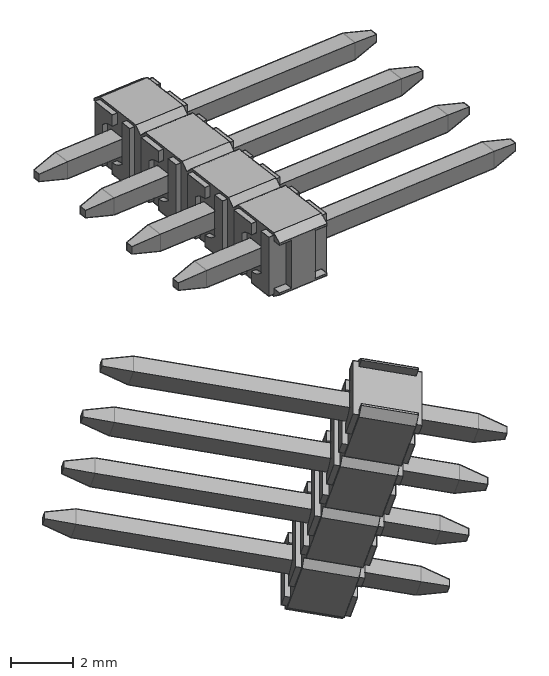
import cadquery as cq
import math

pin_count = 4
pitch = 10.16 / pin_count
row_length = pin_count * pitch

body_depth = 1.9
body_height = 2.49
notch_size = 0.25
end_bevel_width = 0.32
end_bevel_height = 0.23
end_lip_depth = 0.31
end_web_depth = body_depth / 2

pad_thickness = 0.2
pad_half_width = 0.95
pad_half_height = 1.16
channel_half_width = 0.52
pin_clearance_radius = 0.71

pin_length = 13.46
pin_width = 0.67
pin_tip_width = 0.3
pin_taper_length = 1.0
pin_front_reach = 4.17

pin_positions = [(i - (pin_count - 1) / 2) * pitch for i in range(pin_count)]


def box_between(x_range, y_range, z_range):
    """Box spanning the given (low, high) ranges."""
    sizes = [high - low for low, high in (x_range, y_range, z_range)]
    corner = (x_range[0], y_range[0], z_range[0])
    return cq.Workplane("XY").box(*sizes, centered=False).translate(corner)


def make_body():
    """Bar with bevelled ends, V notches and recessed ends, with a web in the +X recess."""
    half_length = row_length / 2
    half_height = body_height / 2
    flat_end = half_length - end_bevel_width
    bevel_z = half_height - end_bevel_height

    upper_edge = [(-half_length, bevel_z), (-flat_end, half_height)]
    for left_pin in pin_positions[:-1]:
        notch_x = left_pin + pitch / 2
        upper_edge += [
            (notch_x - notch_size, half_height),
            (notch_x, half_height - notch_size),
            (notch_x + notch_size, half_height),
        ]
    upper_edge += [(flat_end, half_height), (half_length, bevel_z)]
    lower_edge = [(x, -z) for x, z in reversed(upper_edge)]

    body = (
        cq.Workplane("XZ")
        .polyline(upper_edge + lower_edge)
        .close()
        .extrude(body_depth / 2, both=True)
    )
    lip_z = half_height - end_lip_depth
    recess_z = (-lip_z, lip_z)
    full_depth = (-body_depth / 2, body_depth / 2)
    web_depth = (-end_web_depth / 2, end_web_depth / 2)
    left_recess = box_between((-half_length, -flat_end), full_depth, recess_z)
    right_recess = box_between((flat_end, half_length), full_depth, recess_z)
    web = box_between((flat_end, half_length), web_depth, recess_z)
    return body.cut(left_recess).cut(right_recess.cut(web))


def make_pad():
    """Left-hand pad on the front of one pin, rooted at the body centre."""
    arc_end_z = math.sqrt(pin_clearance_radius**2 - channel_half_width**2)
    arc_mid_angle = (math.pi / 2 + math.atan2(arc_end_z, -channel_half_width)) / 2
    arc_middle = (
        pin_clearance_radius * math.cos(arc_mid_angle),
        pin_clearance_radius * math.sin(arc_mid_angle),
    )
    return (
        cq.Workplane("XZ")
        .moveTo(-pad_half_width, -pad_half_height)
        .lineTo(-pad_half_width, pad_half_height)
        .lineTo(0, pad_half_height)
        .lineTo(0, pin_clearance_radius)
        .threePointArc(arc_middle, (-channel_half_width, arc_end_z))
        .lineTo(-channel_half_width, -pad_half_height)
        .close()
        .extrude(body_depth / 2 + pad_thickness)
    )


def make_pin():
    """Square pin with a tapered tip at each end."""
    front = -pin_front_reach
    back = front + pin_length
    shaft = box_between(
        (-pin_width / 2, pin_width / 2),
        (front + pin_taper_length, back - pin_taper_length),
        (-pin_width / 2, pin_width / 2),
    )

    def tip(shoulder_y, tip_y):
        return (
            cq.Workplane("XZ", origin=(0, shoulder_y, 0))
            .rect(pin_width, pin_width)
            .workplane(offset=shoulder_y - tip_y)
            .rect(pin_tip_width, pin_tip_width)
            .loft()
        )

    front_tip = tip(front + pin_taper_length, front)
    back_tip = tip(back - pin_taper_length, back)
    return shaft.union(front_tip).union(back_tip)


left_pad = make_pad()
front_pads = left_pad.union(left_pad.rotate((0, 0, 0), (0, 1, 0), 180))
back_pads = front_pads.rotate((0, 0, 0), (0, 0, 1), 180)
pin_station = make_pin().union(front_pads).union(back_pads)

result = make_body()
for pin_x in pin_positions:
    result = result.union(pin_station.translate((pin_x, 0, 0)))